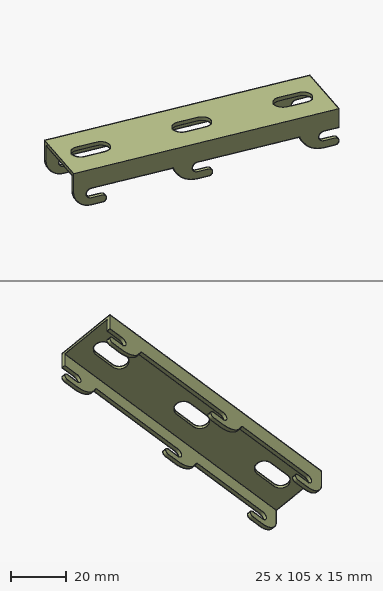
import cadquery as cq
import math

width = 25.0
length = 105.0
sheet = 1.5
flange_depth = 8.0

notch_height = 4.0
finger_thickness = 3.0
finger_reach = 6.0
hook_pitch = 50.0
hook_radius = 10.0
end_hook_radius = 7.0

slot_length = 15.0
slot_width = 7.0
slot_pitch = 40.0
slot_count = 3

flange_bottom = -flange_depth
finger_top = flange_bottom - notch_height
hook_bottom = finger_top - finger_thickness

front_end = -length / 2
back_end = length / 2
back_hook_y = back_end - finger_reach
middle_hook_y = back_hook_y - hook_pitch
front_hook_y = front_end + end_hook_radius

inner_width = width - 2 * sheet


def channel():
    """Plain U-shaped channel without hooks or holes."""
    outer = cq.Workplane("XY").box(width, length, flange_depth, centered=(True, True, False))
    inner = cq.Workplane("XY").box(inner_width, length, flange_depth - sheet, centered=(True, True, False))
    return outer.cut(inner).translate((0, 0, flange_bottom))


def hook(bend_y, back_radius):
    """Hook across the full width; its quarter-round back starts at bend_y and rises towards -Y.

    The root reaches up through the flange to the top face, so that the two merge.
    """
    notch_radius = notch_height / 2
    tip_radius = finger_thickness / 2
    tip_y = bend_y + finger_reach
    tip_round_y = tip_y - tip_radius
    back_y = bend_y - back_radius
    back_z = hook_bottom + back_radius
    diagonal = back_radius * math.sqrt(0.5)
    return (
        cq.Workplane("YZ", origin=(-width / 2, 0, 0))
        .moveTo(tip_round_y, hook_bottom)
        .lineTo(bend_y, hook_bottom)
        .threePointArc((bend_y - diagonal, back_z - diagonal), (back_y, back_z))
        .lineTo(back_y, 0)
        .lineTo(bend_y, 0)
        .lineTo(bend_y, flange_bottom)
        .threePointArc((bend_y - notch_radius, flange_bottom - notch_radius), (bend_y, finger_top))
        .lineTo(tip_round_y, finger_top)
        .threePointArc((tip_y, finger_top - tip_radius), (tip_round_y, hook_bottom))
        .close()
        .extrude(width)
    )


def hooks():
    """All hooks on both flanges, with the space between the flanges left open."""
    bars = hook(back_hook_y, hook_radius)
    bars = bars.union(hook(middle_hook_y, hook_radius))
    bars = bars.union(hook(front_hook_y, end_hook_radius))
    gap_height = -hook_bottom
    gap = cq.Workplane("XY").box(inner_width, length, gap_height, centered=(True, True, False))
    return bars.cut(gap.translate((0, 0, hook_bottom)))


def web_slots():
    """Row of slots along the middle of the web, each lying lengthwise along Y."""
    return (
        cq.Workplane("XY")
        .rarray(1, slot_pitch, 1, slot_count)
        .slot2D(slot_length, slot_width, 90)
        .extrude(-sheet)
    )


result = channel().union(hooks()).cut(web_slots())